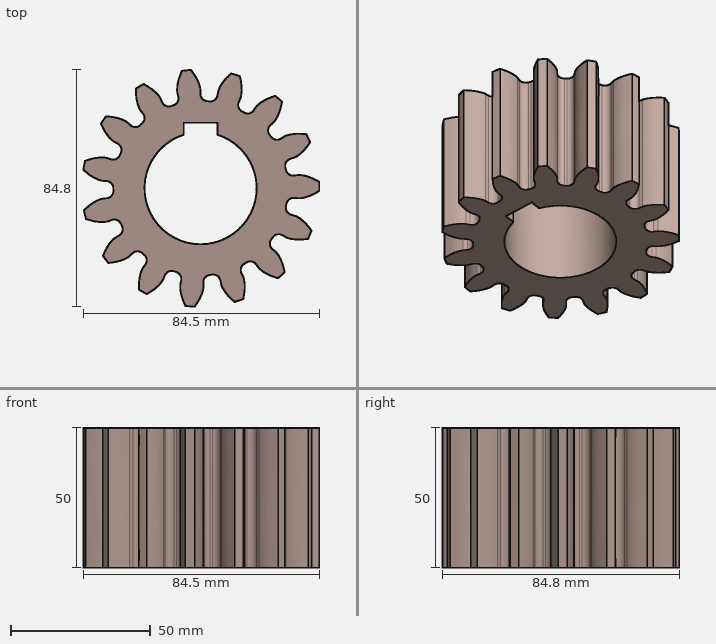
import cadquery as cq
import math

teeth = 15
tip_diameter = 85.0
face_width = 50.0
pressure_angle = math.radians(20)
first_tooth_angle = math.radians(0.9)
root_fillet = 2.55

bore_diameter = 40.0
keyway_width = 11.95
keyway_top = 23.3

addendum_factor = 1.0
dedendum_factor = 1.25
module = tip_diameter / (teeth + 2 * addendum_factor)
pitch_radius = module * teeth / 2
base_radius = pitch_radius * math.cos(pressure_angle)
tip_radius = tip_diameter / 2
root_radius = pitch_radius - dedendum_factor * module
tooth_pitch = 2 * math.pi / teeth
flank_steps = 8


def polar(radius, angle):
    return (radius * math.cos(angle), radius * math.sin(angle))


def involute_angle(radius):
    """Angle the involute has turned from its start on the base circle."""
    roll = math.sqrt((radius / base_radius) ** 2 - 1)
    return roll - math.atan(roll)


base_half_angle = tooth_pitch / 4 + involute_angle(pitch_radius)
tip_half_angle = base_half_angle - involute_angle(tip_radius)

fillet_centre_radius = root_radius + root_fillet
fillet_turn = math.asin(root_fillet / fillet_centre_radius)
fillet_end_radius = math.sqrt(fillet_centre_radius**2 - root_fillet**2)
fillet_half_angle = base_half_angle + fillet_turn


def flank_points(centre, side):
    """Involute points from base circle to tip; side is -1 or +1 of the tooth centre."""
    max_roll = math.sqrt((tip_radius / base_radius) ** 2 - 1)
    points = []
    for i in range(flank_steps + 1):
        radius = base_radius * math.sqrt(1 + (max_roll * i / flank_steps) ** 2)
        half_angle = base_half_angle - involute_angle(radius)
        points.append(polar(radius, centre + side * half_angle))
    return points


def fillet_middle(centre, side):
    """Point halfway along the root fillet on one side of a tooth."""
    x, y = polar(fillet_centre_radius, centre + side * fillet_half_angle)
    facing_axis = centre + side * fillet_half_angle + math.pi
    facing_flank = centre + side * (base_half_angle - math.pi / 2)
    turn = math.remainder(facing_flank - facing_axis, 2 * math.pi)
    dx, dy = polar(root_fillet, facing_axis + turn / 2)
    return (x + dx, y + dy)


def gear_blank():
    outline = cq.Workplane("XY").moveTo(*polar(root_radius, first_tooth_angle - fillet_half_angle))
    for i in range(teeth):
        centre = first_tooth_angle + i * tooth_pitch
        rising = flank_points(centre, -1)
        falling = flank_points(centre, 1)[::-1]
        next_start = centre + tooth_pitch - fillet_half_angle
        outline = (
            outline.threePointArc(
                fillet_middle(centre, -1), polar(fillet_end_radius, centre - base_half_angle)
            )
            .lineTo(*rising[0])
            .spline(rising[1:], includeCurrent=True)
            .threePointArc(polar(tip_radius, centre), polar(tip_radius, centre + tip_half_angle))
            .spline(falling[1:], includeCurrent=True)
            .lineTo(*polar(fillet_end_radius, centre + base_half_angle))
            .threePointArc(
                fillet_middle(centre, 1), polar(root_radius, centre + fillet_half_angle)
            )
            .threePointArc(
                polar(root_radius, centre + tooth_pitch / 2), polar(root_radius, next_start)
            )
        )
    return outline.close().extrude(face_width)


bore = cq.Workplane("XY").circle(bore_diameter / 2).extrude(face_width)
keyway = cq.Workplane("XY").box(keyway_width, keyway_top, face_width, centered=(True, False, False))

result = gear_blank().cut(bore).cut(keyway)